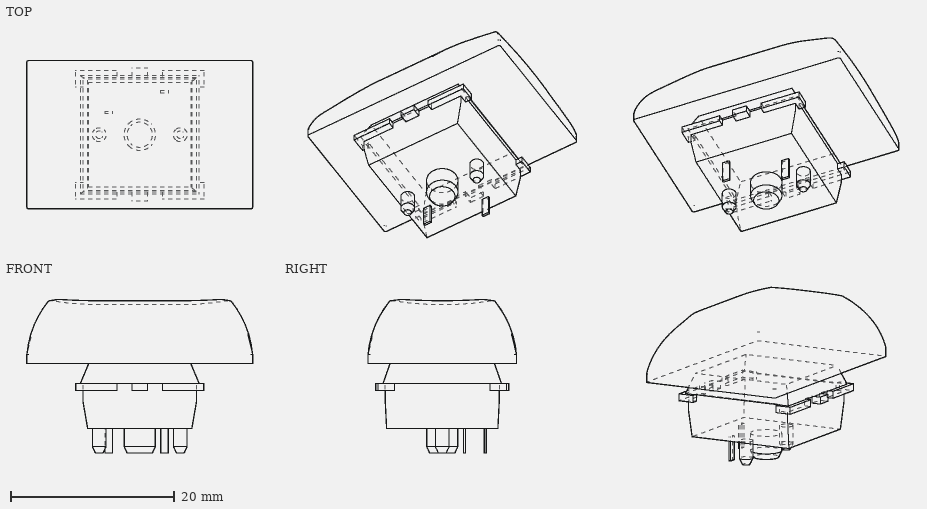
import cadquery as cq
import math


total_height = 18.88
pin_length = 3.0
tip_height = 0.8
waist_z = 6.34
flange_bottom_z = 7.68
flange_top_z = 8.55
rim_bottom_z = 10.98
rim_top_z = 12.08

housing_bottom = (12.78, 13.66)
housing_waist = (13.95, 14.0)
shoulder_bottom = (14.58, 14.53)
shoulder_top = (12.54, 12.83)

flange_side = 15.7
flange_gap_x = 5.54
flange_gap_y = 11.74
tab_width = 1.88
tab_span = 16.3

post_diameter = 3.85
post_tip_diameter = 3.1
peg_diameter = 1.7
peg_tip_diameter = 0.92
peg_spacing = 9.94
terminal_width = 0.94
terminal_thickness = 0.26
terminal_positions = [(-3.79, 2.72), (3.04, 5.27)]

cap_length = 27.7
cap_width = 18.2
cap_corner_radius = 0.25
straight_half_length = 4.71
edge_round = 0.35
wall_height = 7.2
wall_start_slope = 0.08
corner_start_slope = 0.18
side_inset = 3.22
corner_inset_x = 4.35
corner_inset_y = 4.65
wall_sections = 4

dish_radius = 38.0
dish_corner_reach = 7.22


def tapered_block(bottom_size, top_size, bottom_z, top_z):
    """Rectangular frustum centred on the Z axis."""
    return (
        cq.Workplane("XY", origin=(0, 0, bottom_z))
        .rect(*bottom_size)
        .workplane(offset=top_z - bottom_z)
        .rect(*top_size)
        .loft(ruled=True)
    )


def make_flange():
    """Corner pieces left by a cross-shaped gap, plus the middle tabs."""
    thickness = flange_top_z - flange_bottom_z
    plane = cq.Workplane("XY", origin=(0, 0, flange_bottom_z))
    flange = plane.rect(flange_side, flange_side).extrude(thickness)
    gap_along_y = plane.rect(flange_gap_x, flange_side).extrude(thickness)
    gap_along_x = plane.rect(flange_side, flange_gap_y).extrude(thickness)
    tabs = plane.rect(tab_width, tab_span).extrude(thickness)
    return flange.cut(gap_along_y).cut(gap_along_x).union(tabs)


def make_housing():
    lower = tapered_block(housing_bottom, housing_waist, pin_length, waist_z)
    middle = tapered_block(housing_waist, housing_waist, waist_z, flange_top_z)
    shoulder = tapered_block(shoulder_bottom, shoulder_top, flange_top_z, rim_bottom_z)
    return lower.union(middle).union(shoulder).union(make_flange())


def round_pin(x, diameter, tip_diameter):
    """Round pin with a tapered tip, standing on the X axis."""
    profile = [
        (0, 0),
        (tip_diameter / 2, 0),
        (diameter / 2, tip_height),
        (diameter / 2, pin_length),
        (0, pin_length),
    ]
    pin = cq.Workplane("XZ").polyline(profile).close().revolve(360, (0, 0), (0, 1))
    return pin.translate((x, 0, 0))


def make_pins():
    pins = round_pin(0, post_diameter, post_tip_diameter)
    for side in (-1, 1):
        pins = pins.union(round_pin(side * peg_spacing / 2, peg_diameter, peg_tip_diameter))
    terminals = (
        cq.Workplane("XY")
        .pushPoints(terminal_positions)
        .rect(terminal_width, terminal_thickness)
        .extrude(pin_length)
    )
    return pins.union(terminals)


def wall_inset(height, final_inset, start_slope):
    """Inward shift of the wall at a height above the rim, following a circular arc."""
    start_angle = math.atan(start_slope)
    chord_angle = math.atan2(final_inset, wall_height)
    end_angle = 2 * chord_angle - start_angle
    radius = wall_height / (math.sin(end_angle) - math.sin(start_angle))
    angle = math.asin(math.sin(start_angle) + height / radius)
    return radius * (math.cos(start_angle) - math.cos(angle))


def cap_outline(height):
    """Outline of the keycap wall: straight amid each long side, bowed towards and across the ends."""
    end_x = cap_length / 2 - wall_inset(height, side_inset, wall_start_slope)
    side_y = cap_width / 2 - wall_inset(height, side_inset, wall_start_slope)
    corner_x = cap_length / 2 - wall_inset(height, corner_inset_x, corner_start_slope)
    corner_y = cap_width / 2 - wall_inset(height, corner_inset_y, corner_start_slope)
    plane = cq.Workplane("XY", origin=(0, 0, rim_top_z + height))

    if height == 0:
        return (
            plane.moveTo(-straight_half_length, -side_y)
            .lineTo(straight_half_length, -side_y)
            .lineTo(corner_x, -corner_y)
            .lineTo(corner_x, corner_y)
            .lineTo(straight_half_length, side_y)
            .lineTo(-straight_half_length, side_y)
            .lineTo(-corner_x, corner_y)
            .lineTo(-corner_x, -corner_y)
            .close()
            .val()
        )

    bow_run = corner_x - straight_half_length
    bow_drop = side_y - corner_y
    bow_angle = math.atan2(bow_drop, bow_run)
    bow_radius = bow_run / math.sin(2 * bow_angle)
    bow_x = straight_half_length + bow_radius * math.sin(bow_angle)
    bow_y = side_y - bow_radius * (1 - math.cos(bow_angle))
    return (
        plane.moveTo(-straight_half_length, -side_y)
        .lineTo(straight_half_length, -side_y)
        .threePointArc((bow_x, -bow_y), (corner_x, -corner_y))
        .threePointArc((end_x, 0), (corner_x, corner_y))
        .threePointArc((bow_x, bow_y), (straight_half_length, side_y))
        .lineTo(-straight_half_length, side_y)
        .threePointArc((-bow_x, bow_y), (-corner_x, corner_y))
        .threePointArc((-end_x, 0), (-corner_x, -corner_y))
        .threePointArc((-bow_x, -bow_y), (-straight_half_length, -side_y))
        .wire()
        .val()
    )


def make_dish_cutter():
    """Capsule along X whose underside forms the dish; it is shallowest near the corners."""
    center_z = total_height + math.sqrt(dish_radius**2 - dish_corner_reach**2)
    reach_x = straight_half_length + dish_radius
    return (
        cq.Workplane("XZ", origin=(0, 0, center_z))
        .moveTo(-reach_x, 0)
        .radiusArc((-straight_half_length, dish_radius), dish_radius)
        .lineTo(straight_half_length, dish_radius)
        .radiusArc((reach_x, 0), dish_radius)
        .close()
        .revolve(360, (0, 0), (1, 0))
    )


def corner_edges(wall):
    """The four edges that climb the corners of the wall."""
    climbing = [edge for edge in wall.edges().vals() if edge.BoundingBox().zlen > wall_height / 2]
    return [edge for edge in climbing if abs(edge.Center().x) > 2 * straight_half_length]


def opening_edges(cap):
    """Edges where the dish meets the wall; the circular edges only divide the dish."""
    middle_z = (rim_top_z + total_height) / 2
    return [edge for edge in cap.edges("not %CIRCLE").vals() if edge.BoundingBox().zmin > middle_z]


def make_keycap():
    rim = (
        cq.Workplane("XY", origin=(0, 0, rim_bottom_z))
        .rect(cap_length, cap_width)
        .extrude(rim_top_z - rim_bottom_z)
        .edges("|Z")
        .fillet(cap_corner_radius)
    )
    heights = [wall_height * i / (wall_sections - 1) for i in range(wall_sections)]
    outlines = [cap_outline(height) for height in heights]
    wall = cq.Workplane(cq.Solid.makeLoft(outlines))
    rounded = wall.newObject(corner_edges(wall)).fillet(cap_corner_radius)
    dished = rounded.cut(make_dish_cutter())
    smooth_top = dished.newObject(opening_edges(dished)).fillet(edge_round)
    return rim.union(smooth_top)


result = make_keycap().union(make_housing()).union(make_pins())